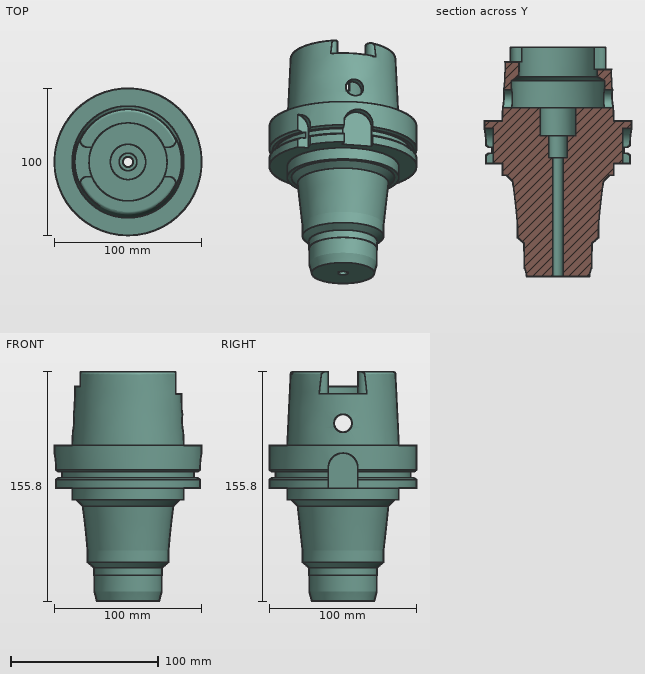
import cadquery as cq
import math


shank_height = 50.0
shank_base_radius = 38.0
shank_top_radius = 35.6
shank_rim_round = 2.0

flange_radius = 50.0
flange_thickness = 29.0
groove_floor_radius = 46.0
groove_mid_depth = 20.0
groove_floor_width = 4.0
groove_mouth_width = 6.6
groove_bevel_radius = 48.0

overall_height = 155.8
nose_end_z = shank_height - overall_height
collar_radius = 37.9
collar_bottom_z = -37.0
neck_shoulder_radius = 35.0
neck_top_radius = 30.9
neck_top_z = -41.2
neck_bottom_radius = 27.6
neck_bottom_z = -71.5
band_bottom_z = -79.2
nose_collar_radius = 23.2
nose_collar_top_z = -83.0
nose_radius = 23.0
nose_collar_bottom_z = -88.3
nose_tip_start_z = -99.3
nose_tip_radius = 21.3

cross_hole_radius = 6.0
cross_hole_z = 15.0

bore_radius = 26.5
bore_depth = 20.0
undercut_radius = 31.5
undercut_lead_angle = 30.0
undercut_lead_height = (undercut_radius - bore_radius) * math.tan(math.radians(undercut_lead_angle))
cavity_floor_z = cross_hole_z - cross_hole_radius
thread_hole_radius = 12.0
thread_hole_bottom_z = -10.0
pilot_hole_radius = 6.0
pilot_hole_bottom_z = -25.0
coolant_hole_radius = 3.4

rim_slot_width = 20.0
rim_slot_depth_left = 10.0
rim_slot_depth_right = 15.0
rim_flat_x = 32.5
rim_flat_half_width = 20.0
rim_slot_corner_radius = 4.8

flange_slot_width = 20.0
flange_slot_top_z = -5.2
drive_slot_floor = 44.0
notch_floor = 32.0
notch_inner_y = 31.2


def outer_body():
    """Solid of revolution of the shank, flange, body and nose."""
    groove_mouth_top = -groove_mid_depth + groove_mouth_width / 2
    groove_mouth_bottom = -groove_mid_depth - groove_mouth_width / 2
    groove_floor_top = -groove_mid_depth + groove_floor_width / 2
    groove_floor_bottom = -groove_mid_depth - groove_floor_width / 2
    profile = [
        (0, shank_height),
        (shank_top_radius, shank_height),
        (shank_base_radius, 0),
        (flange_radius, 0),
        (flange_radius, groove_mouth_top),
        (groove_bevel_radius, groove_floor_top),
        (groove_floor_radius, groove_floor_top),
        (groove_floor_radius, groove_floor_bottom),
        (groove_bevel_radius, groove_floor_bottom),
        (flange_radius, groove_mouth_bottom),
        (flange_radius, -flange_thickness),
        (collar_radius, -flange_thickness),
        (collar_radius, collar_bottom_z),
        (neck_shoulder_radius, collar_bottom_z),
        (neck_top_radius, neck_top_z),
        (neck_bottom_radius, neck_bottom_z),
        (neck_bottom_radius, band_bottom_z),
        (nose_collar_radius, nose_collar_top_z),
        (nose_collar_radius, nose_collar_bottom_z),
        (nose_radius, nose_collar_bottom_z),
        (nose_radius, nose_tip_start_z),
        (nose_tip_radius, nose_end_z),
        (0, nose_end_z),
    ]
    section_plane = cq.Plane(origin=(0, 0, 0), xDir=(0, -1, 0), normal=(-1, 0, 0))
    body = cq.Workplane(section_plane).polyline(profile).close().revolve(360, (0, 0, 0), (0, 1, 0))
    return body.faces(">Z").edges().fillet(shank_rim_round)


def inner_cavity():
    """Undercut bore of the shank, stepping down to the through hole."""
    undercut_top = shank_height - bore_depth
    profile = [
        (0, shank_height),
        (bore_radius, shank_height),
        (bore_radius, undercut_top),
        (undercut_radius, undercut_top - undercut_lead_height),
        (undercut_radius, cavity_floor_z),
        (thread_hole_radius, cavity_floor_z),
        (thread_hole_radius, thread_hole_bottom_z),
        (pilot_hole_radius, thread_hole_bottom_z),
        (pilot_hole_radius, pilot_hole_bottom_z),
        (coolant_hole_radius, pilot_hole_bottom_z),
        (coolant_hole_radius, nose_end_z),
        (0, nose_end_z),
    ]
    return cq.Workplane("YZ").polyline(profile).close().revolve(360, (0, 0, 0), (0, 1, 0))


def rim_slot(side, depth):
    """Drive slot on the side -1 (-X) or +1 (+X), flaring to flats through rounded lobe corners."""
    half_width = rim_slot_width / 2
    round_start_x = rim_flat_x - rim_slot_corner_radius
    round_end_y = half_width + rim_slot_corner_radius
    diagonal = rim_slot_corner_radius * math.sqrt(0.5)
    round_mid = (round_start_x + diagonal, round_end_y - diagonal)
    outline = (
        cq.Workplane("XY", origin=(0, 0, shank_height - depth))
        .moveTo(0, -half_width)
        .lineTo(side * round_start_x, -half_width)
        .threePointArc((side * round_mid[0], -round_mid[1]), (side * rim_flat_x, -round_end_y))
        .lineTo(side * rim_flat_x, -rim_flat_half_width)
        .lineTo(side * flange_radius, -rim_flat_half_width)
        .lineTo(side * flange_radius, rim_flat_half_width)
        .lineTo(side * rim_flat_x, rim_flat_half_width)
        .lineTo(side * rim_flat_x, round_end_y)
        .threePointArc((side * round_mid[0], round_mid[1]), (side * round_start_x, half_width))
        .lineTo(0, half_width)
        .close()
    )
    return outline.extrude(depth)


def cross_hole():
    """Radial hole along X through both shank walls, stopping at the bore."""
    drill = (
        cq.Workplane("YZ", origin=(-flange_radius, 0, cross_hole_z))
        .circle(cross_hole_radius)
        .extrude(2 * flange_radius)
    )
    bore_space = cq.Workplane("XY").circle(undercut_radius).extrude(shank_height)
    return drill.cut(bore_space)


def flange_slot(side, floor_distance, centre_y):
    """Round-topped slot with a flat floor facing -X (side -1) or +X (side +1)."""
    radius = flange_slot_width / 2
    return (
        cq.Workplane("YZ", origin=(side * floor_distance, 0, 0))
        .moveTo(centre_y - radius, -flange_thickness)
        .lineTo(centre_y - radius, flange_slot_top_z - radius)
        .threePointArc((centre_y, flange_slot_top_z), (centre_y + radius, flange_slot_top_z - radius))
        .lineTo(centre_y + radius, -flange_thickness)
        .close()
        .extrude(side * flange_radius)
    )


result = outer_body().cut(inner_cavity())
result = result.cut(rim_slot(-1, rim_slot_depth_left))
result = result.cut(rim_slot(1, rim_slot_depth_right))
result = result.cut(cross_hole())
for slot_side in (-1, 1):
    result = result.cut(flange_slot(slot_side, drive_slot_floor, 0))
result = result.cut(flange_slot(-1, notch_floor, notch_inner_y + flange_slot_width / 2))